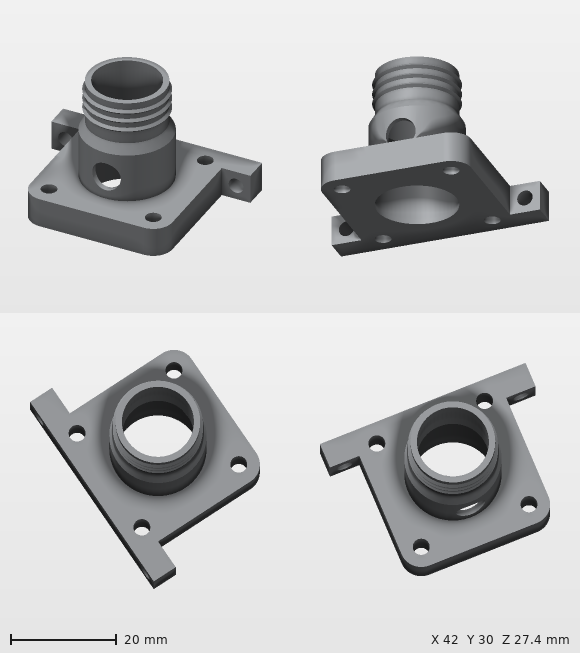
import cadquery as cq

base_side = 30.0
base_height = 6.1
corner_radius = 4.0
bolt_hole_diameter = 3.2
bolt_spacing = 22.0

flange_length = 42.0
flange_depth = 5.0
flange_hole_diameter = 3.1
flange_hole_spacing = 36.0
flange_hole_height = 3.0

total_height = 27.4
tower_diameter = 18.4
neck_diameter = 16.0
bore_diameter = 13.6
lower_bore_diameter = 16.0
shoulder_bottom = 16.4
shoulder_top = 18.4

ring_diameter = 17.0
ring_width = 1.0
ring_pitch = 2.0
ring_count = 3
top_ring_height = 25.4

port_diameter = 6.0
port_height = 11.0


def make_base():
    """Plate with rounded front corners, flange ears and screw holes."""
    plate = (
        cq.Workplane("XY")
        .box(base_side, base_side, base_height, centered=(True, True, False))
        .edges("|Z and <Y")
        .fillet(corner_radius)
    )
    flange = (
        cq.Workplane("XY")
        .center(0, (base_side - flange_depth) / 2)
        .box(flange_length, flange_depth, base_height, centered=(True, True, False))
    )
    bolt_holes = (
        cq.Workplane("XY")
        .rect(bolt_spacing, bolt_spacing, forConstruction=True)
        .vertices()
        .circle(bolt_hole_diameter / 2)
        .extrude(base_height)
    )
    half_spacing = flange_hole_spacing / 2
    flange_holes = (
        cq.Workplane("XZ", origin=(0, base_side / 2, 0))
        .pushPoints([(-half_spacing, flange_hole_height), (half_spacing, flange_hole_height)])
        .circle(flange_hole_diameter / 2)
        .extrude(flange_depth)
    )
    return plate.union(flange).cut(bolt_holes).cut(flange_holes)


def make_tower():
    """Solid tower: wide body, conical shoulder and ringed neck."""
    tower_radius = tower_diameter / 2
    neck_radius = neck_diameter / 2
    profile = (
        cq.Workplane("XZ")
        .lineTo(tower_radius, 0)
        .lineTo(tower_radius, shoulder_bottom)
        .lineTo(neck_radius, shoulder_top)
    )
    for index in reversed(range(ring_count)):
        ring_height = top_ring_height - index * ring_pitch
        profile = (
            profile.lineTo(neck_radius, ring_height - ring_width / 2)
            .lineTo(ring_diameter / 2, ring_height)
            .lineTo(neck_radius, ring_height + ring_width / 2)
        )
    profile = profile.lineTo(neck_radius, total_height).lineTo(0, total_height).close()
    return profile.revolve(360, (0, 0, 0), (0, 1, 0))


bore = cq.Workplane("XY").circle(bore_diameter / 2).extrude(total_height)
lower_bore = cq.Workplane("XY").circle(lower_bore_diameter / 2).extrude(shoulder_bottom)
port = (
    cq.Workplane("XZ")
    .center(0, port_height)
    .circle(port_diameter / 2)
    .extrude(tower_diameter)
)

result = make_base().union(make_tower()).cut(bore).cut(lower_bore).cut(port)